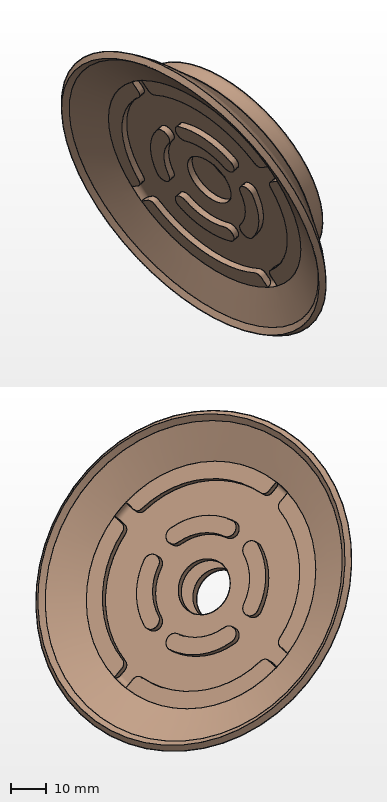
import cadquery as cq
import math


outer_radius = 48.9
total_depth = 18.5

rim_front_radius = 47.5
rim_edge_depth = 1.5
rim_inner_radius = 46.0
rim_inner_depth = 1.5
rim_back_radius = 46.5
rim_back_depth = 3.8

flare_end_radius = 35.6
cup_radius = 34.0
neck_depth = 13.7
neck_fillet = 2.0
cup_edge_fillet = 2.3

pad_face_depth = 6.1
relief_height = 2.0
floor_depth = pad_face_depth + relief_height
floor_radius = 35.5
floor_fillet = 1.5

plate_thickness = 2.0
cup_wall = 2.4
cavity_radius = cup_radius - cup_wall
cavity_front_depth = floor_depth + plate_thickness
cavity_back_depth = total_depth - cup_wall
front_hole_radius = 8.0
back_hole_radius = 7.4

quarter_count = 4
quarter_angle = 360.0 / quarter_count
pad_inner_radius = 30.5
pad_gap = 5.0
pad_corner_fillet = 2.0

boss_center_radius = 17.5
boss_width = 5.0
boss_half_angle = 28.5


def disc(radius, start_depth, end_depth):
    """Solid cylinder on the Y axis between two depths."""
    plane = cq.Workplane("XZ", origin=(0, start_depth, 0))
    return plane.circle(radius).extrude(start_depth - end_depth)


def make_shell():
    """Flared cap with its dish, before the hollow and the raised features."""
    arc_mid = math.sqrt(0.5)
    floor_corner = floor_radius - floor_fillet
    back_corner = cup_radius - cup_edge_fillet
    neck_center = cup_radius + neck_fillet
    neck_sweep = math.acos((neck_center - flare_end_radius) / neck_fillet)

    def neck_point(angle):
        """Point on the neck arc, at an angle from where it leaves the cup side."""
        return (
            neck_center - neck_fillet * math.cos(angle),
            neck_depth - neck_fillet * math.sin(angle),
        )

    profile = (
        cq.Workplane("ZY")
        .moveTo(0, floor_depth)
        .lineTo(floor_corner, floor_depth)
        .threePointArc(
            (floor_corner + floor_fillet * arc_mid, floor_depth - floor_fillet * (1 - arc_mid)),
            (floor_radius, floor_depth - floor_fillet),
        )
        .lineTo(floor_radius, pad_face_depth)
        .lineTo(rim_inner_radius, rim_inner_depth)
        .lineTo(rim_front_radius, 0)
        .lineTo(outer_radius, rim_edge_depth)
        .lineTo(rim_back_radius, rim_back_depth)
        .lineTo(*neck_point(neck_sweep))
        .threePointArc(neck_point(neck_sweep / 2), neck_point(0))
        .lineTo(cup_radius, total_depth - cup_edge_fillet)
        .threePointArc(
            (back_corner + cup_edge_fillet * arc_mid, total_depth - cup_edge_fillet * (1 - arc_mid)),
            (back_corner, total_depth),
        )
        .lineTo(0, total_depth)
        .close()
    )
    return profile.revolve(360, (0, 0, 0), (0, 1, 0))


def make_pads():
    """Quarter pads filling the corner of the dish, flush with the foot of the flare."""
    ring = disc(floor_radius, pad_face_depth, floor_depth)
    ring = ring.cut(disc(pad_inner_radius, pad_face_depth, floor_depth))
    gap = cq.Workplane("XY").box(2 * outer_radius, 2 * total_depth, pad_gap)
    for index in range(quarter_count // 2):
        ring = ring.cut(gap.rotate((0, 0, 0), (0, 1, 0), quarter_angle * (index + 0.5)))
    middle_radius = (pad_inner_radius + floor_radius) / 2
    inner_corners = []
    for edge in ring.edges("|Y").vals():
        center = edge.Center()
        if math.hypot(center.x, center.z) < middle_radius:
            inner_corners.append(edge)
    return ring.newObject(inner_corners).fillet(pad_corner_fillet)


def make_boss():
    """Curved boss above the hole, rising from the floor to the pad faces."""

    def point(radius, angle):
        """Point at a radius, with the angle in degrees from the +Z side."""
        turn = math.radians(angle)
        return (radius * math.sin(turn), radius * math.cos(turn))

    inner = boss_center_radius - boss_width / 2
    outer = boss_center_radius + boss_width / 2
    cap_angle = boss_half_angle + math.degrees(math.atan(boss_width / 2 / boss_center_radius))
    cap_radius = math.hypot(boss_center_radius, boss_width / 2)
    return (
        cq.Workplane("XZ", origin=(0, floor_depth, 0))
        .moveTo(*point(inner, -boss_half_angle))
        .threePointArc(point(inner, 0), point(inner, boss_half_angle))
        .threePointArc(point(cap_radius, cap_angle), point(outer, boss_half_angle))
        .threePointArc(point(outer, 0), point(outer, -boss_half_angle))
        .threePointArc(point(cap_radius, -cap_angle), point(inner, -boss_half_angle))
        .close()
        .extrude(relief_height)
    )


result = make_shell()
result = result.union(make_pads())
for index in range(quarter_count):
    result = result.union(make_boss().rotate((0, 0, 0), (0, 1, 0), quarter_angle * index))
result = result.cut(disc(cavity_radius, cavity_front_depth, cavity_back_depth))
result = result.cut(disc(front_hole_radius, floor_depth, cavity_front_depth))
result = result.cut(disc(back_hole_radius, cavity_back_depth, total_depth))